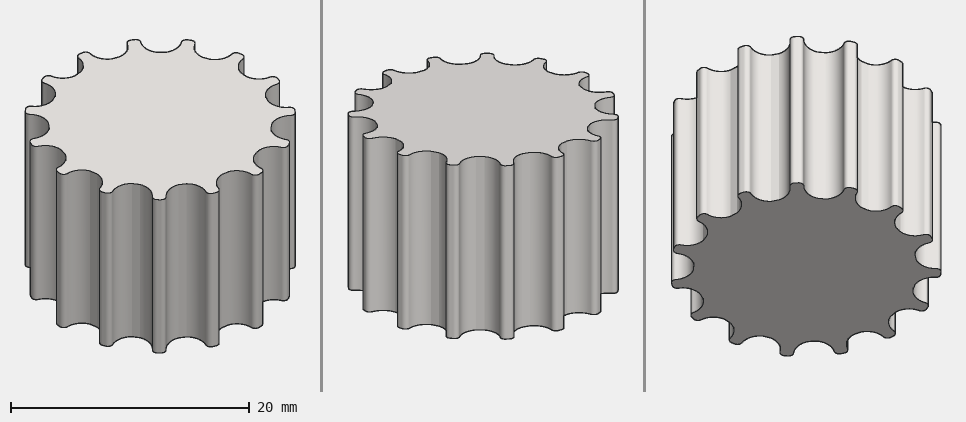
import cadquery as cq
import math

tooth_count = 15
outer_radius = 11.37
face_width = 16.0
groove_radius = 1.72
root_distance = 9.37
root_flat_width = 0.7
tip_round_radius = 0.43

tooth_pitch = 2 * math.pi / tooth_count
first_groove_angle = -math.pi / 2 + tooth_pitch / 2

root_flat_half = root_flat_width / 2
groove_center_radius = root_distance + math.sqrt(groove_radius**2 - root_flat_half**2)

tip_center_radius = outer_radius - tip_round_radius
center_distance = groove_radius + tip_round_radius
tip_center_angle = math.acos(
    (groove_center_radius**2 + tip_center_radius**2 - center_distance**2)
    / (2 * groove_center_radius * tip_center_radius)
)


def polar(radius, angle):
    return (radius * math.cos(angle), radius * math.sin(angle))


def toward(start, target, distance):
    """Point at the given distance from start, in the direction of target."""
    span = math.dist(start, target)
    return tuple(s + (t - s) * distance / span for s, t in zip(start, target))


def midpoint(a, b):
    return ((a[0] + b[0]) / 2, (a[1] + b[1]) / 2)


def arc_middle(center, radius, start, end):
    """Middle point of the shorter arc from start to end."""
    return toward(center, midpoint(start, end), radius)


def half_groove(angle, side):
    """Points of one groove half, from the root outward; side is -1 or 1."""
    groove_center = polar(groove_center_radius, angle)
    tip_center = polar(tip_center_radius, angle + side * tip_center_angle)

    root_angle = angle + side * math.atan2(root_flat_half, root_distance)
    root_end = polar(math.hypot(root_distance, root_flat_half), root_angle)

    flank_end = toward(groove_center, tip_center, groove_radius)
    flank_middle = arc_middle(groove_center, groove_radius, root_end, flank_end)
    tip_end = polar(outer_radius, angle + side * tip_center_angle)
    tip_middle = arc_middle(tip_center, tip_round_radius, flank_end, tip_end)
    return root_end, flank_middle, flank_end, tip_middle, tip_end


def pulley_outline():
    start = half_groove(first_groove_angle, -1)[-1]
    outline = cq.Workplane("XY").moveTo(*start)
    for index in range(tooth_count):
        angle = first_groove_angle + index * tooth_pitch
        root_in, flank_mid_in, flank_in, tip_mid_in, _ = half_groove(angle, -1)
        root_out, flank_mid_out, flank_out, tip_mid_out, tip_out = half_groove(angle, 1)
        next_tip = half_groove(angle + tooth_pitch, -1)[-1]
        outline = (
            outline.threePointArc(tip_mid_in, flank_in)
            .threePointArc(flank_mid_in, root_in)
            .lineTo(*root_out)
            .threePointArc(flank_mid_out, flank_out)
            .threePointArc(tip_mid_out, tip_out)
            .threePointArc(polar(outer_radius, angle + tooth_pitch / 2), next_tip)
        )
    return outline.close()


result = pulley_outline().extrude(face_width)